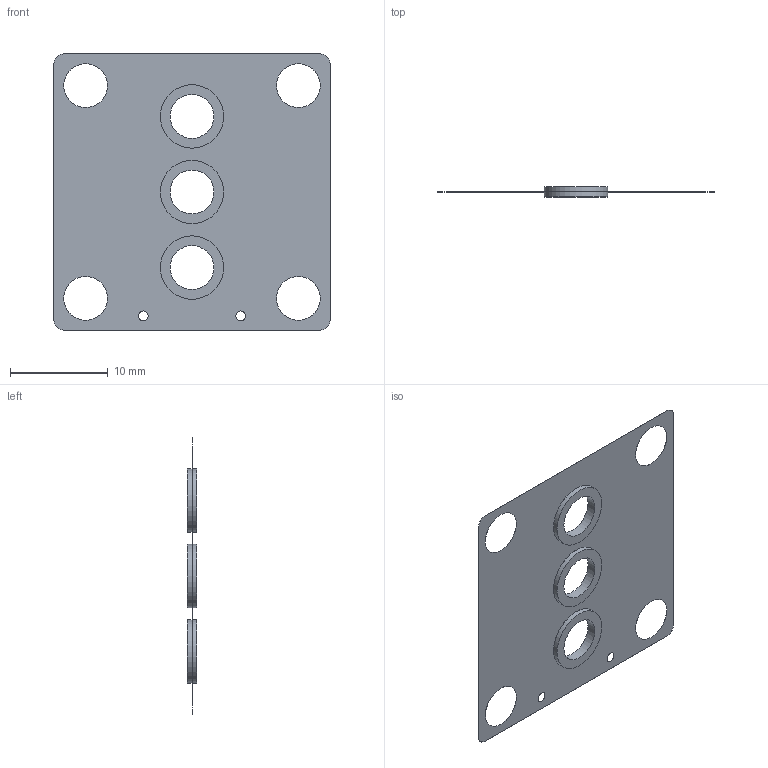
import cadquery as cq

plate_side = 28.3
plate_thickness = 0.01
corner_radius = 1.0

mount_hole_diameter = 4.5
mount_hole_edge_gap = 1.0

ring_count = 3
ring_pitch = 7.75
ring_outer_diameter = 6.5
ring_bore_diameter = 4.5
ring_height = 1.0

pin_hole_diameter = 1.0
pin_hole_spacing = 10.0
pin_hole_edge_distance = 1.45

mount_hole_offset = plate_side / 2 - mount_hole_edge_gap - mount_hole_diameter / 2
mount_hole_points = [
    (x_sign * mount_hole_offset, z_sign * mount_hole_offset)
    for x_sign in (-1, 1)
    for z_sign in (-1, 1)
]
ring_points = [(0, (index - (ring_count - 1) / 2) * ring_pitch) for index in range(ring_count)]
pin_hole_z = -plate_side / 2 + pin_hole_edge_distance
pin_hole_points = [(x_sign * pin_hole_spacing / 2, pin_hole_z) for x_sign in (-1, 1)]


def make_plate():
    """Rounded square sheet, extruded from Y = 0 toward -Y."""
    sheet = cq.Workplane("XZ").rect(plate_side, plate_side).extrude(plate_thickness)
    return sheet.edges("|Y").fillet(corner_radius)


def make_discs(points, diameter):
    """Cylinders along Y, as long as the rings and centred on Y = 0."""
    back_face = cq.Workplane("XZ", origin=(0, ring_height / 2, 0))
    return back_face.pushPoints(points).circle(diameter / 2).extrude(ring_height)


plate = make_plate()
rings = make_discs(ring_points, ring_outer_diameter)
ring_bores = make_discs(ring_points, ring_bore_diameter)
mount_holes = make_discs(mount_hole_points, mount_hole_diameter)
pin_holes = make_discs(pin_hole_points, pin_hole_diameter)

result = plate.union(rings).cut(ring_bores).cut(mount_holes).cut(pin_holes)